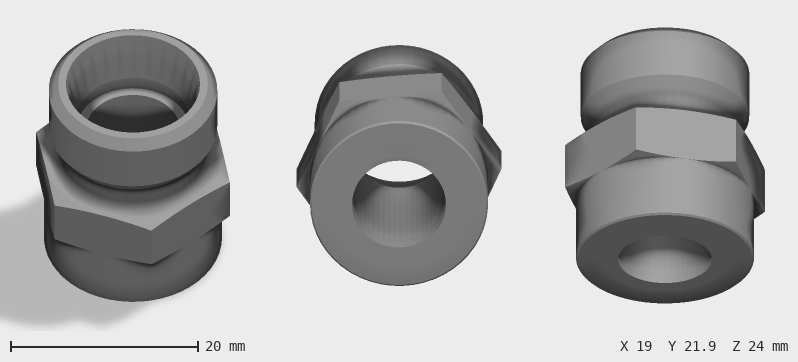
import cadquery as cq
import math

total_height = 24.0
body_diameter = 19.0
body_edge_chamfer = 0.2
hex_across_flats = body_diameter
hex_bottom = 7.0
hex_top = 13.0
hex_chamfer_angle = 15.0

neck_diameter = 15.7
neck_fillet_radius = 1.0
neck_top = 15.4
relief_radius = 1.0
collar_diameter = 18.0
collar_bottom = 17.6
collar_cone_angle = 30.0
collar_chamfer = 1.0

bore_diameter = 10.0
socket_diameter = 12.0
socket_depth = 7.0
cone_mouth_diameter = 14.3
cone_half_angle = 12.0


def make_body():
    """Lower cylinder with a small chamfer at its free end."""
    body = cq.Workplane("XY").circle(body_diameter / 2).extrude(hex_top)
    return body.faces("<Z").chamfer(body_edge_chamfer)


def make_hexagon():
    """Wrench hexagon with two corners on the Y axis and conically turned ends."""
    corner_diameter = hex_across_flats / math.cos(math.radians(30))
    height = hex_top - hex_bottom
    flat_radius = hex_across_flats / 2
    corner_radius = corner_diameter / 2
    drop = (corner_radius - flat_radius) * math.tan(math.radians(hex_chamfer_angle))
    prism = (
        cq.Workplane("XY", origin=(0, 0, hex_bottom))
        .transformed(rotate=(0, 0, 30))
        .polygon(6, corner_diameter)
        .extrude(height)
    )
    turned_blank = (
        cq.Workplane("XZ")
        .moveTo(0, hex_bottom)
        .lineTo(flat_radius, hex_bottom)
        .lineTo(corner_radius, hex_bottom + drop)
        .lineTo(corner_radius, hex_top - drop)
        .lineTo(flat_radius, hex_top)
        .lineTo(0, hex_top)
        .close()
        .revolve(360, (0, 0, 0), (0, 1, 0))
    )
    return prism.intersect(turned_blank)


def make_neck_and_collar():
    """Filleted neck that widens through a rounded relief and a cone into the collar."""
    neck_radius = neck_diameter / 2
    collar_radius = collar_diameter / 2
    slope = math.radians(collar_cone_angle)

    fillet_outer_radius = neck_radius + neck_fillet_radius
    fillet_top = hex_top + neck_fillet_radius
    fillet_mid = (
        fillet_outer_radius - neck_fillet_radius * math.cos(math.radians(45)),
        fillet_top - neck_fillet_radius * math.sin(math.radians(45)),
    )

    def relief_point(angle):
        return (
            neck_radius + relief_radius * (1 - math.cos(angle)),
            neck_top + relief_radius * math.sin(angle),
        )

    return (
        cq.Workplane("XZ")
        .moveTo(0, hex_top)
        .lineTo(fillet_outer_radius, hex_top)
        .threePointArc(fillet_mid, (neck_radius, fillet_top))
        .lineTo(neck_radius, neck_top)
        .threePointArc(relief_point(slope / 2), relief_point(slope))
        .lineTo(collar_radius, collar_bottom)
        .lineTo(collar_radius, total_height - collar_chamfer)
        .lineTo(collar_radius - collar_chamfer, total_height)
        .lineTo(0, total_height)
        .close()
        .revolve(360, (0, 0, 0), (0, 1, 0))
    )


def make_bore():
    """Through bore with a tube socket and a conical seat at the upper end."""
    socket_radius = socket_diameter / 2
    mouth_radius = cone_mouth_diameter / 2
    cone_depth = (mouth_radius - socket_radius) / math.tan(math.radians(cone_half_angle))
    socket_floor = total_height - socket_depth
    return (
        cq.Workplane("XZ")
        .lineTo(bore_diameter / 2, 0)
        .lineTo(bore_diameter / 2, socket_floor)
        .lineTo(socket_radius, socket_floor)
        .lineTo(socket_radius, total_height - cone_depth)
        .lineTo(mouth_radius, total_height)
        .lineTo(0, total_height)
        .close()
        .revolve(360, (0, 0, 0), (0, 1, 0))
    )


outside = make_body().union(make_hexagon()).union(make_neck_and_collar())
result = outside.cut(make_bore())